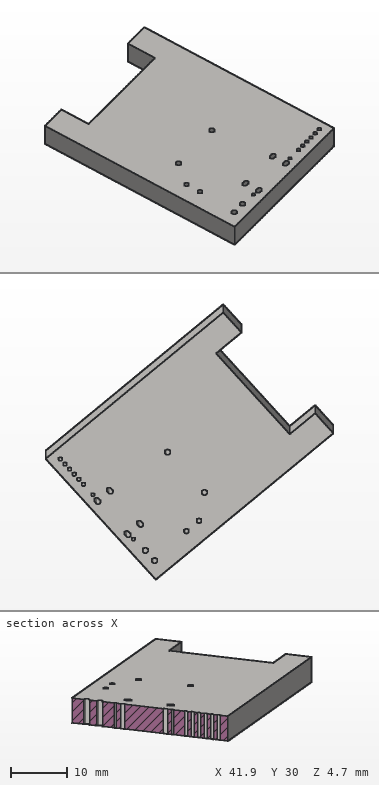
import cadquery as cq

length = 41.9
width = 30.0
thickness = 4.7

notch_depth = 6.0
notch_width = 20.03

pin_diameter = 0.65
pin_count = 6
pin_pitch = 1.25
pin_x = 39.95
first_pin_y = 21.95

connector_y = 13.85
slot_columns = (37.15, 40.1)
slot_spacing = 8.2
slot_length = 1.3
slot_width = 0.9
peg_spacing = 11.0
peg_diameter = 0.6

mount_diameter = 1.0
mount_x = 24.65
mount_y = 11.7
mount_spacing = 10.0
terminal_diameter = 1.0
terminal_x = 39.72
terminal_y = 4.1
terminal_spacing = 2.5
lead_diameter = 0.9
lead_x = 30.35
lead_y = 3.3
lead_spacing = 2.97


def pair(centre, spacing):
    """Two coordinates placed evenly about a centre."""
    return (centre - spacing / 2, centre + spacing / 2)


def drill(body, points, diameter):
    """Cut round holes through the plate."""
    holes = cq.Workplane("XY").pushPoints(points).circle(diameter / 2).extrude(thickness)
    return body.cut(holes)


def cut_slots(body, points):
    """Cut round-ended slots, long along Y, through the plate."""
    slots = cq.Workplane("XY").pushPoints(points).slot2D(slot_length, slot_width, 90).extrude(thickness)
    return body.cut(slots)


plate = cq.Workplane("XY").box(length, width, thickness, centered=False)
notch = (
    cq.Workplane("XY")
    .box(notch_depth, notch_width, thickness, centered=False)
    .translate((0, (width - notch_width) / 2, 0))
)
plate = plate.cut(notch)

pin_points = [(pin_x, first_pin_y + i * pin_pitch) for i in range(pin_count)]
plate = drill(plate, pin_points, pin_diameter)

slot_points = [(x, y) for x in slot_columns for y in pair(connector_y, slot_spacing)]
plate = cut_slots(plate, slot_points)
peg_points = [(pin_x, y) for y in pair(connector_y, peg_spacing)]
plate = drill(plate, peg_points, peg_diameter)

mount_points = [(mount_x, y) for y in pair(mount_y, mount_spacing)]
plate = drill(plate, mount_points, mount_diameter)
terminal_points = [(terminal_x, y) for y in pair(terminal_y, terminal_spacing)]
plate = drill(plate, terminal_points, terminal_diameter)
lead_points = [(x, lead_y) for x in pair(lead_x, lead_spacing)]
plate = drill(plate, lead_points, lead_diameter)

result = plate